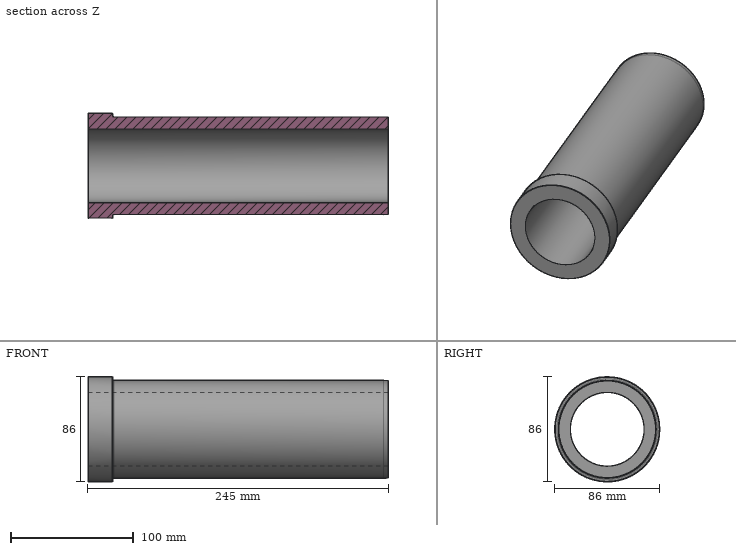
import cadquery as cq

length = 245.0
flange_diameter = 86.0
flange_width = 20.0
body_diameter = 80.0
bore_diameter = 60.0
edge_break = 0.5
front_chamfer = 0.35
root_fillet = 1.0
lead_length = 4.2
lead_drop = 0.12

flange_radius = flange_diameter / 2
body_radius = body_diameter / 2
bore_radius = bore_diameter / 2
lead_radius = body_radius - lead_drop


def half_profile():
    """Section above the axis: X along the axis, Y as radius."""
    return (
        cq.Workplane("XY")
        .moveTo(0, bore_radius)
        .lineTo(0, flange_radius - front_chamfer)
        .lineTo(front_chamfer, flange_radius)
        .lineTo(flange_width - edge_break, flange_radius)
        .lineTo(flange_width, flange_radius - edge_break)
        .lineTo(flange_width, body_radius + root_fillet)
        .radiusArc((flange_width + root_fillet, body_radius), -root_fillet)
        .lineTo(length - lead_length, body_radius)
        .lineTo(length - edge_break, lead_radius)
        .lineTo(length, lead_radius - edge_break)
        .lineTo(length, bore_radius)
        .close()
    )


result = half_profile().revolve(360, (0, 0, 0), (1, 0, 0))